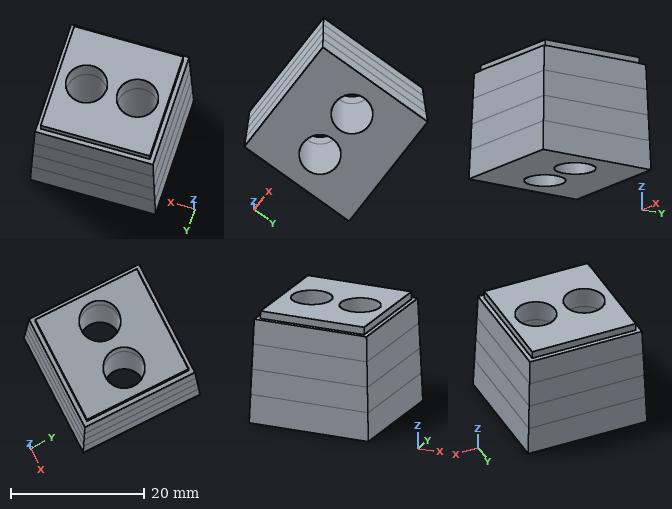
import cadquery as cq

base_side = 19.71
total_height = 17.7

shoulder_side = 18.57
bottom_layer_height = 4.61
layer_height = 4.0
platform_height = 1.18
shoulder_height = total_height - platform_height
seam_heights = [bottom_layer_height + i * layer_height for i in range(3)]
layer_heights = [0.0] + seam_heights + [shoulder_height]

platform_side = 17.15

bore_diameter = 6.25
bore_spacing = 8.0
bore_seam_depth = 3.25


def side_at(height):
    """Side length of the tapered body at a given height."""
    return base_side + (shoulder_side - base_side) * height / shoulder_height


def tapered_layer(bottom, top):
    """Square frustum between two heights of the body."""
    return (
        cq.Workplane("XY", origin=(0, 0, bottom))
        .rect(side_at(bottom), side_at(bottom))
        .workplane(offset=top - bottom)
        .rect(side_at(top), side_at(top))
        .loft(ruled=True)
    )


block = (
    cq.Workplane("XY", origin=(0, 0, shoulder_height))
    .rect(platform_side, platform_side)
    .extrude(platform_height)
)
for bottom, top in zip(layer_heights, layer_heights[1:]):
    block = block.union(tapered_layer(bottom, top), clean=False)

bore_centers = [(-bore_spacing / 2, 0), (bore_spacing / 2, 0)]


def bore_section(bottom, top):
    """Pair of bore cylinders between two heights."""
    return (
        cq.Workplane("XY", origin=(0, 0, bottom))
        .pushPoints(bore_centers)
        .circle(bore_diameter / 2)
        .extrude(top - bottom)
    )


bore_seam_height = total_height - bore_seam_depth
result = block.cut(bore_section(bore_seam_height, total_height), clean=False)
result = result.cut(bore_section(0, bore_seam_height), clean=False)